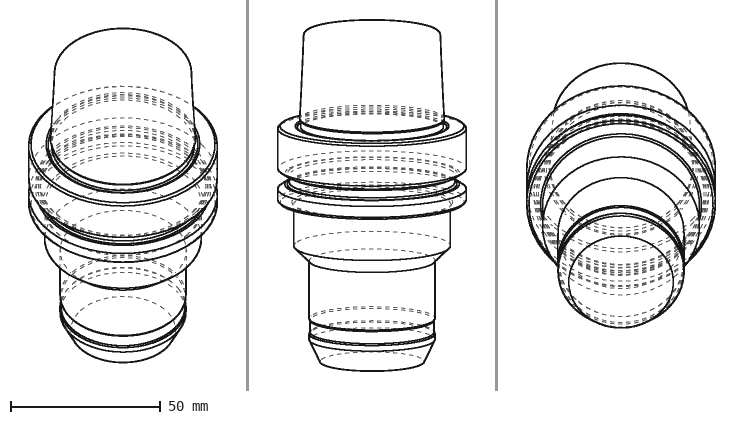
import cadquery as cq

total_height = 111.9
nose_top = 7.5
ring_groove_bottom = 10.0
ring_groove_top = 14.1
body_top = 34.2
shoulder_top = 39.3
flange_bottom = 54.2
grip_groove_bottom = 60.2
grip_groove_top = 64.0
flange_top = 79.9
neck_top = 81.9

nose_end_radius = 17.5
body_radius = 21.0
shoulder_radius = 26.2
flange_radius = 31.5
grip_groove_radius = 27.6
taper_base_radius = 24.2
taper_top_radius = 22.8
recess_radius = 25.6

ring_groove_depth = 0.3
ring_groove_chamfer = 0.6
flange_chamfer = 0.8
flange_root_chamfer = 0.7
grip_chamfer_height = 1.6
grip_chamfer_width = 2.3
grip_root_chamfer = 0.7
neck_depth = 0.3
neck_chamfer = 0.6
recess_depth = 0.3
recess_chamfer = 0.7
taper_top_fillet = 1.3


def half_profile():
    """Right half of the axial section, from the small end up to the taper."""
    ring_groove_radius = body_radius - ring_groove_depth
    grip_lip_radius = flange_radius - grip_chamfer_width
    neck_radius = taper_base_radius - neck_depth
    return (
        cq.Workplane("XZ")
        .lineTo(nose_end_radius, 0)
        .lineTo(body_radius, nose_top)
        .lineTo(body_radius, ring_groove_bottom - ring_groove_chamfer)
        .lineTo(ring_groove_radius, ring_groove_bottom)
        .lineTo(ring_groove_radius, ring_groove_top)
        .lineTo(body_radius, ring_groove_top + ring_groove_chamfer)
        .lineTo(body_radius, body_top)
        .lineTo(shoulder_radius, shoulder_top)
        .lineTo(shoulder_radius, flange_bottom - flange_root_chamfer)
        .lineTo(shoulder_radius + flange_root_chamfer, flange_bottom)
        .lineTo(flange_radius - flange_chamfer, flange_bottom)
        .lineTo(flange_radius, flange_bottom + flange_chamfer)
        .lineTo(flange_radius, grip_groove_bottom - grip_chamfer_height)
        .lineTo(grip_lip_radius, grip_groove_bottom)
        .lineTo(grip_groove_radius + grip_root_chamfer, grip_groove_bottom)
        .lineTo(grip_groove_radius, grip_groove_bottom + grip_root_chamfer)
        .lineTo(grip_groove_radius, grip_groove_top - grip_root_chamfer)
        .lineTo(grip_groove_radius + grip_root_chamfer, grip_groove_top)
        .lineTo(grip_lip_radius, grip_groove_top)
        .lineTo(flange_radius, grip_groove_top + grip_chamfer_height)
        .lineTo(flange_radius, flange_top - flange_chamfer)
        .lineTo(flange_radius - flange_chamfer, flange_top)
        .lineTo(recess_radius, flange_top)
        .lineTo(recess_radius - recess_chamfer, flange_top - recess_depth)
        .lineTo(neck_radius, flange_top - recess_depth)
        .lineTo(neck_radius, neck_top)
        .lineTo(taper_base_radius, neck_top + neck_chamfer)
        .lineTo(taper_top_radius, total_height)
        .lineTo(0, total_height)
        .close()
    )


body = half_profile().revolve(360, (0, 0, 0), (0, 1, 0))

result = body.faces(">Z").edges().fillet(taper_top_fillet)